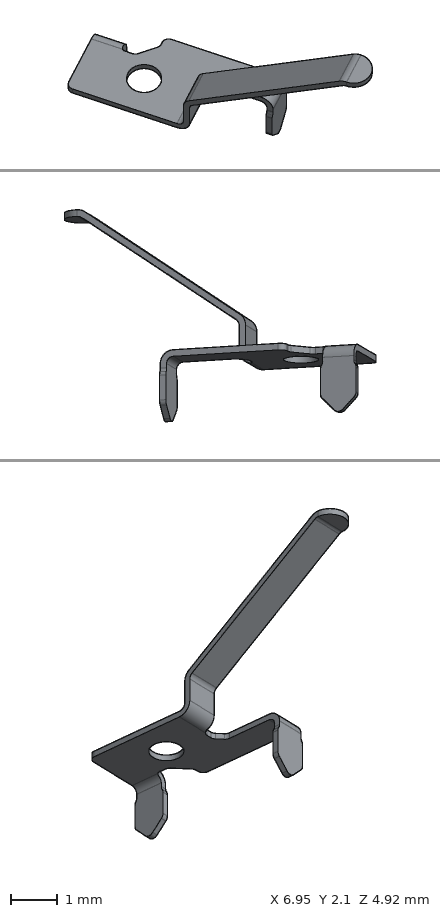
import cadquery as cq
import math

thickness = 0.145
inner_radius = 0.15
outer_radius = inner_radius + thickness
corner_radius = 0.15

slot_x = 2.53
relief_y = 1.375
relief_radius = 0.1
step_x = 1.435
step_slope = 0.405
hole_diameter = 0.75
hole_x = 1.455
hole_y = 0.85

arm_front = 1.35
arm_back = 2.05
arm_end = 4.235
slot_slope = 0.22
arm_centre_y = (arm_front + arm_back) / 2

neck_width = arm_back - arm_front
tab_width = 0.8
tab_outer_y = 1.695
tab_tip_z = -1.345
tip_corner_radius = 0.15
shoulder_radius = 0.15
shoulder_top_z = -0.24
shoulder_side = (tab_width - neck_width) / 2

finger_width = 0.795
finger_start = 2.57
finger_angle = math.radians(35)
finger_end = 6.9
finger_top = 3.575

tab_fold_z = -inner_radius
left_fold_y = tab_outer_y - outer_radius
right_fold_x = arm_end - outer_radius
finger_back = finger_start + inner_radius
lower_fold = (finger_start, outer_radius)
upper_fold_x = finger_back + outer_radius
top_fold = (finger_end - finger_width / 2, finger_top - outer_radius)
upper_fold = (upper_fold_x, top_fold[1] - (top_fold[0] - upper_fold_x) * math.tan(finger_angle))
slot_corner_back = finger_width + corner_radius

shortest_line = 1e-4


def rounded_outline(plane, corners):
    """Closed outline through (x, y, radius) corners; radius 0 keeps a corner sharp."""
    stretches = []
    for i, (x, y, radius) in enumerate(corners):
        corner = cq.Vector(x, y)
        if radius == 0:
            stretches.append((corner, None, corner))
            continue
        before = (cq.Vector(*corners[i - 1][:2]) - corner).normalized()
        after = (cq.Vector(*corners[(i + 1) % len(corners)][:2]) - corner).normalized()
        half_angle = before.getAngle(after) / 2
        setback = radius / math.tan(half_angle)
        apex_gap = radius / math.sin(half_angle) - radius
        middle = corner + (before + after).normalized() * apex_gap
        stretches.append((corner + before * setback, middle, corner + after * setback))

    outline = cq.Workplane(plane).moveTo(*stretches[0][2].toTuple()[:2])
    previous_end = stretches[0][2]
    for start, middle, end in stretches[1:] + stretches[:1]:
        if (start - previous_end).Length > shortest_line:
            outline = outline.lineTo(start.x, start.y)
        previous_end = end
        if middle is not None:
            outline = outline.threePointArc((middle.x, middle.y), (end.x, end.y))
    return outline.close()


def block(x_range, y_range):
    """Flat stretch of sheet."""
    size = (x_range[1] - x_range[0], y_range[1] - y_range[0], thickness)
    return cq.Workplane("XY").box(*size, centered=False).translate((x_range[0], y_range[0], 0))


def polar(centre, radius, angle):
    return (centre[0] + radius * math.cos(angle), centre[1] + radius * math.sin(angle))


def plan_prism():
    """Plan outline of the folded sheet, tall enough to trim every fold."""
    finger_tip_radius = finger_width / 2
    corners = [
        (0, 0, corner_radius),
        (finger_end, 0, finger_tip_radius),
        (finger_end, finger_width, finger_tip_radius),
        (slot_x, finger_width, corner_radius),
        (slot_x, arm_front - slot_slope, corner_radius),
        (slot_x + slot_slope, arm_front, corner_radius),
        (arm_end, arm_front, 0),
        (arm_end, arm_back, 0),
        (step_x, arm_back, corner_radius),
        (step_x, relief_y + step_slope, corner_radius),
        (step_x - step_slope, relief_y, corner_radius),
        (neck_width, relief_y, relief_radius),
        (neck_width, tab_outer_y, 0),
        (0, tab_outer_y, 0),
    ]
    return rounded_outline("XY", corners).extrude(finger_top - tab_fold_z)


def plate():
    front = block((0, finger_start), (0, left_fold_y))
    back = block((neck_width + relief_radius, right_fold_x), (slot_corner_back, arm_back))
    return front.union(back)


def tab_fold(plane, fold_position, start, end):
    """Quarter bend turning the sheet down, between two stations along the fold axis."""
    centre = (fold_position, tab_fold_z)
    middle_angle = math.pi / 4
    origin = (start, 0, 0) if plane == "YZ" else (0, end, 0)
    return (
        cq.Workplane(plane, origin=origin)
        .moveTo(*polar(centre, inner_radius, math.pi / 2))
        .lineTo(*polar(centre, outer_radius, math.pi / 2))
        .threePointArc(polar(centre, outer_radius, middle_angle), polar(centre, outer_radius, 0))
        .lineTo(*polar(centre, inner_radius, 0))
        .threePointArc(polar(centre, inner_radius, middle_angle), polar(centre, inner_radius, math.pi / 2))
        .close()
        .extrude(end - start)
    )


def tab_leg(plane):
    """Pointed tab hanging from its neck, centred on the origin of the plane."""
    neck = neck_width / 2
    side = tab_width / 2
    turn = math.acos(1 - shoulder_side / (2 * shoulder_radius))
    shoulder_z = shoulder_top_z - shoulder_radius * math.tan(turn / 2)
    lower_shoulder_z = shoulder_z - shoulder_side / math.tan(turn)
    sharp_tip_z = tab_tip_z - tip_corner_radius * (math.sqrt(2) - 1)
    taper_z = sharp_tip_z + side
    corners = [
        (-neck, tab_fold_z, 0),
        (-neck, shoulder_z, shoulder_radius),
        (-side, lower_shoulder_z, shoulder_radius),
        (-side, taper_z, tip_corner_radius),
        (0, sharp_tip_z, tip_corner_radius),
        (side, taper_z, tip_corner_radius),
        (side, lower_shoulder_z, shoulder_radius),
        (neck, shoulder_z, shoulder_radius),
        (neck, tab_fold_z, 0),
    ]
    return rounded_outline(plane, corners).extrude(thickness)


def finger():
    """Side profile of the finger: up, then along the slope, then level at the tip."""
    upright = -math.pi / 2
    level = math.pi / 2
    slope = level + finger_angle

    def fold_arc(profile, centre, radius, start, end):
        return profile.threePointArc(polar(centre, radius, (start + end) / 2), polar(centre, radius, end))

    profile = cq.Workplane("XZ", origin=(0, slot_corner_back, 0)).moveTo(finger_start, 0)
    profile = fold_arc(profile, lower_fold, outer_radius, upright, 0)
    profile = profile.lineTo(*polar(upper_fold, inner_radius, math.pi))
    profile = fold_arc(profile, upper_fold, inner_radius, math.pi, slope)
    profile = profile.lineTo(*polar(top_fold, inner_radius, slope))
    profile = fold_arc(profile, top_fold, inner_radius, slope, level)
    profile = profile.lineTo(finger_end, finger_top - thickness)

    profile = profile.lineTo(finger_end, finger_top)
    profile = profile.lineTo(*polar(top_fold, outer_radius, level))
    profile = fold_arc(profile, top_fold, outer_radius, level, slope)
    profile = profile.lineTo(*polar(upper_fold, outer_radius, slope))
    profile = fold_arc(profile, upper_fold, outer_radius, slope, math.pi)
    profile = profile.lineTo(*polar(lower_fold, inner_radius, 0))
    profile = fold_arc(profile, lower_fold, inner_radius, 0, upright)
    return profile.close().extrude(slot_corner_back)


def hole():
    return cq.Workplane("XY").center(hole_x, hole_y).circle(hole_diameter / 2).extrude(thickness)


left_fold = tab_fold("YZ", left_fold_y, 0, neck_width + relief_radius)
right_fold = tab_fold("XZ", right_fold_x, arm_front, arm_back)
trimming = plan_prism().translate((0, 0, tab_fold_z))
sheet = plate().union(finger()).union(left_fold).union(right_fold).intersect(trimming)

left_tab = tab_leg("XZ").translate((neck_width / 2, tab_outer_y, 0))
right_tab = tab_leg("YZ").translate((arm_end - thickness, arm_centre_y, 0))

result = sheet.cut(hole()).union(left_tab).union(right_tab)